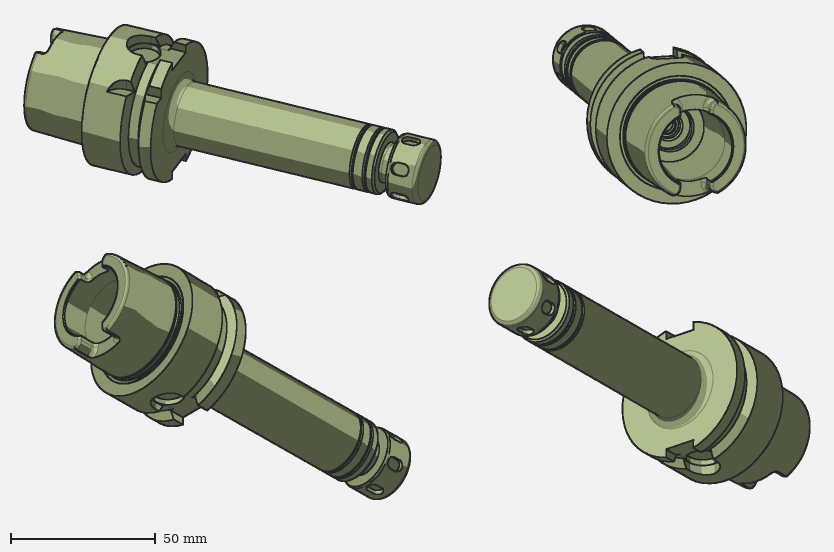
import cadquery as cq
import math


total_length = 145.0
taper_length = 25.0
flange_length = 26.0
nut_end = total_length - taper_length

taper_gauge_radius = 19.0
taper_end_radius = 18.1
taper_end_fillet = 1.0
taper_relief_start = -2.2
taper_relief_end = -1.3
taper_relief_radius = 18.7
seat_chamfer = 0.5
face_recess_radius = 20.3
face_recess_depth = 0.3

flange_radius = 25.01
groove_radius = 21.8
groove_start = 14.5
groove_floor_start = 16.2
groove_floor_end = 19.9
groove_end = 21.5

extension_radius = 11.53
extension_fillet = 2.9
extension_end = 104.1
extension_chamfer = 0.7
ring_groove_starts = (95.0, 99.8)
ring_groove_width = 1.3
ring_groove_depth = 0.3

neck_radius = 7.03
neck_collar_end = 105.0
neck_collar_radius = 7.2
nut_start = 108.5
nut_radius = extension_radius
nut_back_chamfer_length = 0.9
nut_back_chamfer_depth = 0.3
nut_front_fillet = 1.6

spanner_slot_count = 6
spanner_slot_length = 6.5
spanner_slot_width = 4.4
spanner_slot_center = 113.2
spanner_slot_floor = 9.7

drive_slot_half_width = 5.29
drive_slot_depth_top = 4.4
drive_slot_depth_bottom = 7.4
drive_slot_corner_radius = 1.6
drive_slot_mouth_fillet = 0.9
drive_slot_flare = 2.6
drive_slot_flare_start = 13.6

pocket_radius = 6.0
pocket_center_x = 12.8
pocket_floor = 21.24
pocket_drill_depth = 2.2
pocket_drill_radius = 5.8

notch_radius = 6.0
notch_inset = 15.7

bore_radius = 13.0
bore_mouth_chamfer = 0.5
bore_step_depth = 10.2
bore_floor_radius = 11.7
bore_floor_depth = 31.9
bore_steps = (
    (8.1, 7.5, 34.8),
    (5.0, 4.2, 37.7),
    (3.3, 3.0, 40.6),
    (1.7, 0.9, 45.0),
)


def revolve_about_x(profile):
    """Turn an (x, radius) profile around the tool axis."""
    return profile.close().revolve(360, (0, 0, 0), (1, 0, 0))


def make_body():
    """Turned outside of the holder, from the taper to the collet nut."""
    fillet_mid = extension_fillet * (1 - math.sqrt(0.5))
    profile = (
        cq.Workplane("XY")
        .moveTo(-taper_length, 0)
        .lineTo(-taper_length, taper_end_radius)
        .lineTo(taper_relief_start, taper_gauge_radius)
        .lineTo(taper_relief_end, taper_relief_radius)
        .lineTo(face_recess_depth - seat_chamfer, taper_relief_radius)
        .lineTo(face_recess_depth, taper_relief_radius + seat_chamfer)
        .lineTo(face_recess_depth, face_recess_radius)
        .lineTo(0, face_recess_radius)
        .lineTo(0, flange_radius)
        .lineTo(groove_start, flange_radius)
        .lineTo(groove_floor_start, groove_radius)
        .lineTo(groove_floor_end, groove_radius)
        .lineTo(groove_end, flange_radius)
        .lineTo(flange_length, flange_radius)
        .lineTo(flange_length, extension_radius + extension_fillet)
        .threePointArc(
            (flange_length + fillet_mid, extension_radius + fillet_mid),
            (flange_length + extension_fillet, extension_radius),
        )
        .lineTo(extension_end - extension_chamfer, extension_radius)
        .lineTo(extension_end, extension_radius - extension_chamfer)
        .lineTo(extension_end, neck_collar_radius)
        .lineTo(neck_collar_end, neck_radius)
        .lineTo(nut_start, neck_radius)
        .lineTo(nut_start, nut_radius - nut_back_chamfer_depth)
        .lineTo(nut_start + nut_back_chamfer_length, nut_radius)
        .lineTo(nut_end, nut_radius)
        .lineTo(nut_end, 0)
    )
    body = revolve_about_x(profile)
    body = body.faces(">X").edges().fillet(nut_front_fillet)
    return body.faces("<X").edges().fillet(taper_end_fillet)


def make_bore():
    """Stepped bore that opens at the end of the taper."""
    profile = (
        cq.Workplane("XY")
        .moveTo(-taper_length, 0)
        .lineTo(-taper_length, bore_radius + bore_mouth_chamfer)
        .lineTo(bore_mouth_chamfer - taper_length, bore_radius)
        .lineTo(bore_step_depth - taper_length, bore_radius)
        .lineTo(bore_floor_depth - taper_length, bore_floor_radius)
    )
    previous_depth = bore_floor_depth
    for mouth_radius, radius, depth in bore_steps:
        profile = profile.lineTo(previous_depth - taper_length, mouth_radius)
        profile = profile.lineTo(previous_depth + mouth_radius - radius - taper_length, radius)
        profile = profile.lineTo(depth - taper_length, radius)
        previous_depth = depth
    return revolve_about_x(profile.lineTo(previous_depth - taper_length, 0))


def make_ring_groove(start):
    """Shallow V groove around the extension."""
    return revolve_about_x(
        cq.Workplane("XY")
        .moveTo(start, extension_radius)
        .lineTo(start + ring_groove_width / 2, extension_radius - ring_groove_depth)
        .lineTo(start + ring_groove_width, extension_radius)
    )


def make_drive_slot(depth):
    """Slot through the +Z wall of the taper, flared towards the outside."""
    arc_height = drive_slot_flare_start + drive_slot_flare
    arc_mid = drive_slot_flare * math.sqrt(0.5)
    half_opening = drive_slot_half_width + drive_slot_flare
    slot = (
        cq.Workplane("YZ")
        .moveTo(-drive_slot_half_width, 0)
        .lineTo(drive_slot_half_width, 0)
        .lineTo(drive_slot_half_width, drive_slot_flare_start)
        .threePointArc(
            (half_opening - arc_mid, drive_slot_flare_start + arc_mid),
            (half_opening, arc_height),
        )
        .lineTo(half_opening, flange_radius)
        .lineTo(-half_opening, flange_radius)
        .lineTo(-half_opening, arc_height)
        .threePointArc(
            (arc_mid - half_opening, drive_slot_flare_start + arc_mid),
            (-drive_slot_half_width, drive_slot_flare_start),
        )
        .close()
        .extrude(depth)
        .faces(">X")
        .edges()
        .fillet(drive_slot_corner_radius)
    )
    return slot.translate((-taper_length, 0, 0))


def round_drive_slot_mouths(body):
    """Round the drive slot edges on the taper end; its larger round rim is left alone."""
    slot_edges = body.faces("<X").edges().filter(
        lambda edge: edge.geomType() == "LINE" or edge.radius() < bore_radius
    )
    return slot_edges.fillet(drive_slot_mouth_fillet)


def make_round_nosed_cut(center_y, radius, floor):
    """Milled cut with a round nose, open towards the +X end of the flange."""
    height = flange_radius - floor + 1.5
    run = flange_length - pocket_center_x
    nose = cq.Workplane("XY", origin=(pocket_center_x, center_y, floor)).circle(radius).extrude(height)
    channel = cq.Workplane("XY", origin=(pocket_center_x, center_y, floor)).box(
        run, 2 * radius, height, centered=(False, True, False)
    )
    return nose.union(channel)


def make_gripper_pocket():
    """Flat pocket at +Z with a deeper round hole at its nose."""
    spot_floor = pocket_floor - pocket_drill_depth
    spot = (
        cq.Workplane("XY", origin=(pocket_center_x, 0, spot_floor))
        .circle(pocket_drill_radius)
        .extrude(flange_radius - spot_floor)
    )
    return make_round_nosed_cut(0, pocket_radius, pocket_floor).union(spot)


def make_spanner_slot():
    """Round-ended slot sunk into the +Z side of the nut."""
    return (
        cq.Workplane("XY", origin=(spanner_slot_center, 0, spanner_slot_floor))
        .slot2D(spanner_slot_length, spanner_slot_width)
        .extrude(nut_radius)
    )


def turned(cutter, angle):
    """Copy of a cutter turned around the tool axis."""
    return cutter.rotate((0, 0, 0), (1, 0, 0), angle)


result = make_body()

for groove_x in ring_groove_starts:
    result = result.cut(make_ring_groove(groove_x))

result = result.cut(make_drive_slot(drive_slot_depth_top))
result = result.cut(turned(make_drive_slot(drive_slot_depth_bottom), 180))
result = round_drive_slot_mouths(result).cut(make_bore())

for pocket_angle in (0, 180):
    result = result.cut(turned(make_gripper_pocket(), pocket_angle))

result = result.cut(make_round_nosed_cut(-notch_inset - notch_radius, notch_radius, notch_inset))

for index in range(spanner_slot_count):
    result = result.cut(turned(make_spanner_slot(), index * 360 / spanner_slot_count))